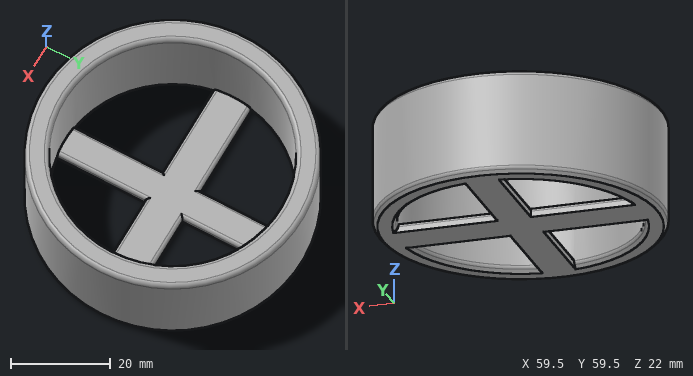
import cadquery as cq
import math

outer_radius = 59.5 / 2
inner_radius = 49.5 / 2
ring_height = 22.0
edge_size = 1.0

spoke_height = 2.0
x_spoke_width = 8.5
y_spoke_width = 7.0
spoke_fillet = 0.8


def make_ring():
    """Revolve the wall section: rounded rims and softened bevels on the bottom edges."""
    blend_length = edge_size * math.tan(math.radians(22.5))
    blend_offset = blend_length * math.sin(math.radians(45))
    bevel_top = edge_size - blend_offset
    blend_top = edge_size + blend_length

    section = (
        cq.Workplane("XZ")
        .moveTo(inner_radius + edge_size, 0)
        .lineTo(outer_radius - edge_size, 0)
        .lineTo(outer_radius - blend_offset, bevel_top)
        .tangentArcPoint((outer_radius, blend_top), relative=False)
        .lineTo(outer_radius, ring_height - edge_size)
        .tangentArcPoint((outer_radius - edge_size, ring_height), relative=False)
        .lineTo(inner_radius + edge_size, ring_height)
        .tangentArcPoint((inner_radius, ring_height - edge_size), relative=False)
        .lineTo(inner_radius, blend_top)
        .tangentArcPoint((inner_radius + blend_offset, bevel_top), relative=False)
        .close()
    )
    return section.revolve(360, (0, 0, 0), (0, 1, 0))


def make_spokes():
    """Cross with rounded upper edges, trimmed to end halfway through the ring wall."""
    length = 2 * outer_radius
    x_spoke = cq.Workplane("XY").rect(length, x_spoke_width).extrude(spoke_height)
    y_spoke = cq.Workplane("XY").rect(y_spoke_width, length).extrude(spoke_height)
    cross = x_spoke.union(y_spoke).faces(">Z").edges().fillet(spoke_fillet)
    mid_wall_radius = (outer_radius + inner_radius) / 2
    return cross.intersect(cq.Workplane("XY").circle(mid_wall_radius).extrude(spoke_height))


result = make_ring().union(make_spokes())